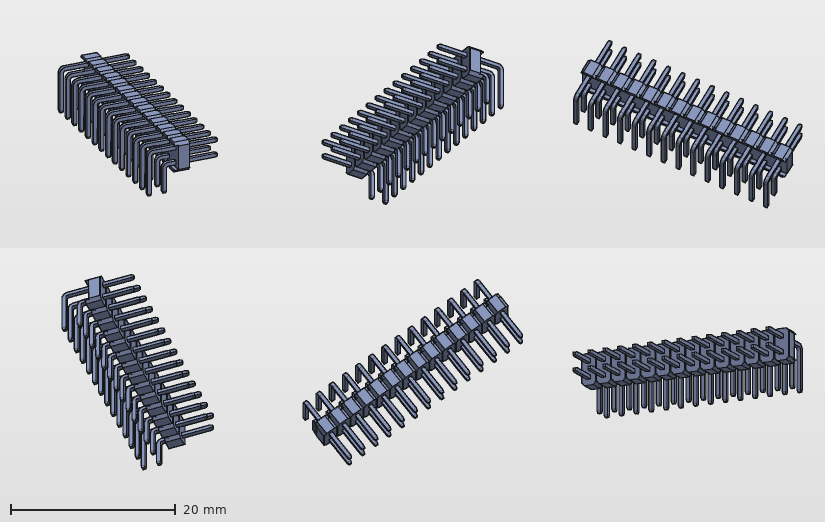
import cadquery as cq
length = 28.0
pin_count = 14
pitch = length / pin_count
row_spacing = pitch

housing_height = 2 * pitch
housing_depth = 1.5
lip_depth = pitch
lip_thickness = 0.35
notch_depth = 0.42
notch_half_width = 0.4
groove_size = 0.08

pin_width = 0.5
bend_radius = 0.5
tip_length = 0.28
tip_inset = 0.08
pin_back = 4.0
pin_front = 5.3
total_height = 6.8

housing_back = (pin_front - pin_back) / 2
upper_row_z = row_spacing / 2
pin_bottom = housing_height / 2 - total_height
pin_tail_y = housing_back + pin_back
upper_leg_y = housing_back - pin_front + pin_width / 2


def segment_x(index):
    """Centre of one housing segment, and of its pins."""
    return (index + 0.5) * pitch - length / 2


def build_notch(x, side):
    """V cutter across the top (side 1) or bottom (side -1) of the housing."""
    edge = housing_height / 2
    return (
        cq.Workplane("XZ", origin=(x, housing_back, 0))
        .moveTo(-notch_half_width, side * edge)
        .lineTo(notch_half_width, side * edge)
        .lineTo(0, side * (edge - notch_depth))
        .close()
        .extrude(lip_depth)
    )


def build_groove(x):
    """Upright V cutter in the back, running between the tips of the notches."""
    return (
        cq.Workplane("XY", origin=(x, housing_back, 0))
        .moveTo(-groove_size, 0)
        .lineTo(groove_size, 0)
        .lineTo(0, -groove_size)
        .close()
        .extrude(housing_height / 2 - notch_depth, both=True)
    )


def build_housing():
    half_height = housing_height / 2
    back = housing_back
    block_front = back - housing_depth
    lip_front = back - lip_depth
    lip_edge = half_height - lip_thickness
    profile = [
        (back, half_height),
        (lip_front, half_height),
        (lip_front, lip_edge),
        (block_front, lip_edge),
        (block_front, -lip_edge),
        (lip_front, -lip_edge),
        (lip_front, -half_height),
        (back, -half_height),
    ]
    housing = cq.Workplane("YZ", origin=(-length / 2, 0, 0)).polyline(profile).close().extrude(length)

    for index in range(pin_count + 1):
        x = index * pitch - length / 2
        for side in (1, -1):
            housing = housing.cut(build_notch(x, side))
        housing = housing.cut(build_groove(x))
    return housing


def build_tip(plane):
    """Tapered end of a pin, growing along the normal of the plane."""
    tip_width = pin_width - 2 * tip_inset
    return (
        cq.Workplane(plane)
        .rect(pin_width, pin_width)
        .workplane(offset=tip_length)
        .rect(tip_width, tip_width)
        .loft(ruled=True)
    )


def build_pin(row_z, leg_y):
    tail_start = cq.Vector(0, pin_tail_y - tip_length, row_z)
    leg_end = cq.Vector(0, leg_y, pin_bottom + tip_length)
    path = (
        cq.Workplane("YZ")
        .moveTo(tail_start.y, row_z)
        .lineTo(leg_y + bend_radius, row_z)
        .radiusArc((leg_y, row_z - bend_radius), -bend_radius)
        .lineTo(leg_y, leg_end.z)
    )
    tail_plane = cq.Plane(origin=tail_start, xDir=(1, 0, 0), normal=(0, 1, 0))
    leg_plane = cq.Plane(origin=leg_end, xDir=(1, 0, 0), normal=(0, 0, -1))
    wire = cq.Workplane(tail_plane).rect(pin_width, pin_width).sweep(path)
    return wire.union(build_tip(tail_plane)).union(build_tip(leg_plane))


long_pin = build_pin(upper_row_z, upper_leg_y)
short_pin = build_pin(upper_row_z - row_spacing, upper_leg_y + row_spacing)

result = build_housing()
for index in range(pin_count):
    for pin in (long_pin, short_pin):
        result = result.union(pin.translate((segment_x(index), 0, 0)))